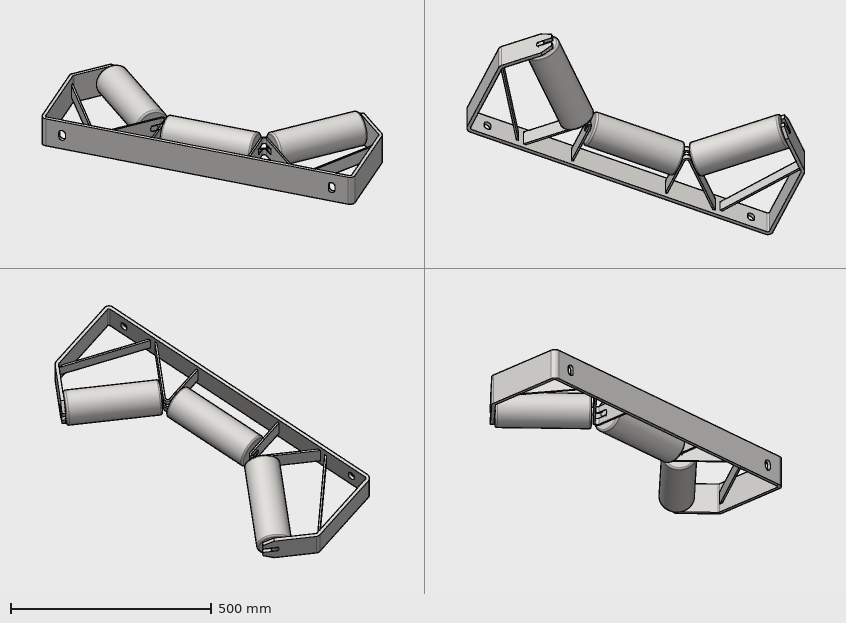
import cadquery as cq
import math


frame_length = 830.0
frame_height = 316.0
frame_width = 80.0
frame_thickness = 9.0
frame_bend_radius = 14.0
tip_chamfer_along = 28.0
tip_chamfer_across = 16.0
mount_slot_x = 358.0
mount_slot_width = 17.5
mount_slot_length = 28.0

bracket_thickness = 5.0
bracket_width = 50.0
bracket_bend_radius = 11.0
level_seat_to_bend = 17.0
inclined_seat_to_bend = 18.0

brace_thickness = 5.0
brace_width = 36.0
brace_foot_x = 280.0
brace_top_y = 202.0

roller_diameter = 89.0
roller_length = 240.0
roller_edge_radius = 5.0
roller_gap = 5.0
frame_gap = 2.5
roller_axis_y = 102.0
shaft_diameter = 20.0
shaft_flat_width = 14.0
seat_width = 17.0
slot_reach = 83.0

half_length = frame_length / 2
slope = math.sqrt(0.5)
support_reach = roller_length / 2 + roller_gap
shaft_radius = shaft_diameter / 2

UPHILL = cq.Vector(-slope, slope, 0)
ALONG_LEG = cq.Vector(slope, slope, 0)
UP = cq.Vector(0, 1, 0)
RIGHT = cq.Vector(1, 0, 0)

bend_center = cq.Vector(-support_reach - bracket_bend_radius, roller_axis_y + level_seat_to_bend, 0)
level_seat = cq.Vector(-support_reach, roller_axis_y, 0)
lower_seat = bend_center - ALONG_LEG * inclined_seat_to_bend + UPHILL * bracket_bend_radius
tilted_center = lower_seat + UPHILL * support_reach
upper_seat = tilted_center + UPHILL * (roller_length / 2 + frame_gap)


def xy(vector):
    """Plane coordinates of a vector."""
    return (vector.x, vector.y)


def mirrored(body):
    """Right-hand copy of a left-hand body."""
    return body.mirror("YZ")


def seat_slot(face_point, axis, opening, depth):
    """Open slot for a shaft end, cut from a support face along the axis; its bottom fits the round shaft."""
    half_width = seat_width / 2
    arc_start = -math.sqrt(shaft_radius**2 - half_width**2)
    plane = cq.Plane(origin=face_point.toTuple(), xDir=opening.toTuple(), normal=axis.toTuple())
    return (
        cq.Workplane(plane)
        .moveTo(slot_reach, -half_width)
        .lineTo(arc_start, -half_width)
        .threePointArc((-shaft_radius, 0), (arc_start, half_width))
        .lineTo(slot_reach, half_width)
        .close()
        .extrude(depth)
    )


def make_frame():
    """Bent strip: base, two upright sides and two inclined tips that carry the outer shaft ends."""
    outer_seat = upper_seat + UPHILL * frame_thickness
    outer_tip = outer_seat + ALONG_LEG * ((frame_height - outer_seat.y) / slope)
    inner_tip = outer_tip - UPHILL * frame_thickness

    inner_x = -half_length + frame_thickness
    inner_corner_y = inner_tip.y - (inner_tip.x - inner_x)
    outer_corner_y = outer_tip.y - (outer_tip.x + half_length)
    left_outline = [
        (inner_x, frame_thickness),
        (inner_x, inner_corner_y),
        xy(inner_tip),
        xy(outer_tip),
        (-half_length, outer_corner_y),
        (-half_length, 0),
    ]
    right_outline = [(-x, y) for x, y in reversed(left_outline)]
    strip = cq.Workplane("XY").polyline(left_outline + right_outline).close()
    strip = strip.extrude(frame_width / 2, both=True)

    inner_bend_radius = frame_bend_radius - frame_thickness
    bends = [
        (half_length, 0, frame_bend_radius),
        (half_length, outer_corner_y, frame_bend_radius),
        (-inner_x, frame_thickness, inner_bend_radius),
        (-inner_x, inner_corner_y, inner_bend_radius),
    ]
    for x, y, radius in bends:
        for bend_x in (-x, x):
            bend_edge = cq.selectors.NearestToPointSelector((bend_x, y, 0))
            strip = strip.edges("|Z").edges(bend_edge).fillet(radius)

    corner = tip_corner(outer_tip)
    slot = seat_slot(upper_seat, UPHILL, ALONG_LEG, frame_thickness)
    for cutter in (corner, corner.mirror("XY"), slot):
        strip = strip.cut(cutter).cut(mirrored(cutter))
    return strip.cut(mount_slots())


def tip_corner(outer_tip):
    """Upper corner of the left frame tip, removed to chamfer it."""
    plane = cq.Plane(
        origin=outer_tip.toTuple(), xDir=ALONG_LEG.toTuple(), normal=(UPHILL * -1).toTuple()
    )
    return (
        cq.Workplane(plane)
        .moveTo(-tip_chamfer_along, frame_width / 2)
        .lineTo(0, frame_width / 2 - tip_chamfer_across)
        .lineTo(0, frame_width / 2)
        .close()
        .extrude(frame_thickness)
    )


def mount_slots():
    """Two mounting slots through the base."""
    return (
        cq.Workplane("XZ")
        .pushPoints([(-mount_slot_x, 0), (mount_slot_x, 0)])
        .slot2D(mount_slot_length, mount_slot_width, 90)
        .extrude(-frame_thickness)
    )


def make_left_bracket():
    """Strip with one upright and one inclined leg, joined by a round bend that the shaft slot passes over."""
    inner_radius = bracket_bend_radius - bracket_thickness
    outer_crown = bend_center + UP * bracket_bend_radius
    inner_crown = bend_center + UP * inner_radius

    def incline_start(radius):
        return bend_center + UPHILL * radius

    def incline_foot(radius):
        start = incline_start(radius)
        drop = start.y - frame_thickness
        return (start.x - drop, frame_thickness)

    strip = (
        cq.Workplane("XY")
        .moveTo(bend_center.x + bracket_bend_radius, frame_thickness)
        .lineTo(bend_center.x + bracket_bend_radius, bend_center.y)
        .threePointArc(xy(outer_crown), xy(incline_start(bracket_bend_radius)))
        .lineTo(*incline_foot(bracket_bend_radius))
        .lineTo(*incline_foot(inner_radius))
        .lineTo(*xy(incline_start(inner_radius)))
        .threePointArc(xy(inner_crown), (bend_center.x + inner_radius, bend_center.y))
        .lineTo(bend_center.x + inner_radius, frame_thickness)
        .close()
        .extrude(bracket_width / 2, both=True)
    )
    upright_slot = seat_slot(level_seat, RIGHT * -1, UP, bracket_bend_radius)
    inclined_slot = seat_slot(lower_seat, UPHILL * -1, ALONG_LEG, bracket_bend_radius)
    return strip.cut(upright_slot).cut(inclined_slot)


def make_left_brace():
    """Sloping flat bar between the base and the side of the frame."""
    inner_x = -half_length + frame_thickness
    run = inner_x + brace_foot_x
    rise = brace_top_y - frame_thickness
    length = math.hypot(run, rise)
    foot_width = brace_thickness * length / rise
    top_width = brace_thickness * length / abs(run)
    return (
        cq.Workplane("XY")
        .polyline([
            (-brace_foot_x, frame_thickness),
            (-brace_foot_x + foot_width, frame_thickness),
            (inner_x, brace_top_y + top_width),
            (inner_x, brace_top_y),
        ])
        .close()
        .extrude(brace_width / 2, both=True)
    )


def make_roller(center, axis, head_gap, head_length):
    """Roller whose shaft is round up to the supports and has two flats inside their slots.

    The tail sits in a bracket; the head end has its own gap to the support and its own flat length.
    """
    drum_start = -roller_length / 2
    tail_face = drum_start - roller_gap
    head_face = roller_length / 2 + head_gap
    tail_end = tail_face - bracket_thickness
    head_end = head_face + head_length

    def section(offset):
        base = cq.Plane(origin=center.toTuple(), xDir=(0, 0, 1), normal=axis.toTuple())
        return cq.Workplane(base).workplane(offset=offset)

    drum = section(drum_start).circle(roller_diameter / 2).extrude(roller_length)
    drum = drum.edges("%CIRCLE").fillet(roller_edge_radius)
    shaft = section(tail_face).circle(shaft_radius).extrude(head_face - tail_face)
    tenons = section(tail_end).circle(shaft_radius).extrude(head_end - tail_end)
    flats = section(tail_end).rect(shaft_flat_width, shaft_diameter).extrude(head_end - tail_end)
    return drum.union(shaft).union(tenons.intersect(flats))


frame = make_frame()
left_bracket = make_left_bracket()
left_brace = make_left_brace()
level_roller = make_roller(cq.Vector(0, roller_axis_y, 0), RIGHT, roller_gap, bracket_thickness)
left_roller = make_roller(tilted_center, UPHILL, frame_gap, frame_thickness)

bodies = [frame.val(), level_roller.val()]
for left_body in (left_bracket, left_brace, left_roller):
    bodies.append(left_body.val())
    bodies.append(mirrored(left_body).val())

result = cq.Compound.makeCompound(bodies)